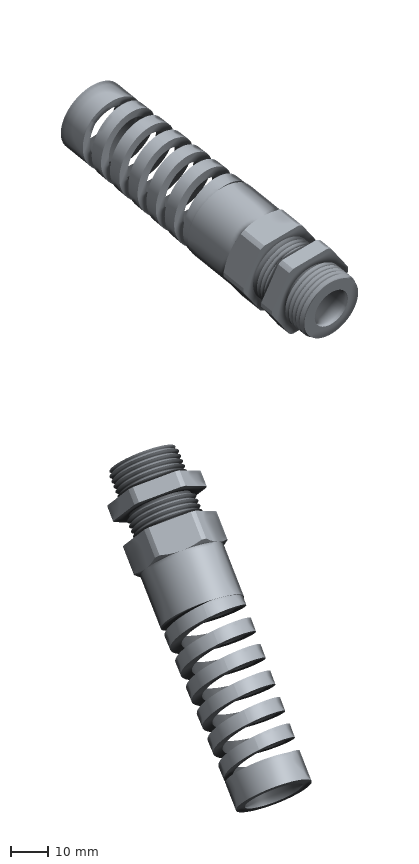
import cadquery as cq
import math

total_length = 98.8
collar_end = 8.1
barrel_start = 53.8
barrel_end = 69.2
hexagon_end = 78.3
flange_start = 85.6
flange_end = 90.1

collar_radius = 10.9
spring_end_radius = 11.8
spring_bore_radius = 8.3
cable_bore_radius = 5.8
across_flats = 23.9
across_corners = 26.8
barrel_radius = across_flats / 2
corner_radius = across_corners / 2
bevel_length = 0.9

first_coil_center = 12.9
last_coil_center = 51.5
coil_gaps = 5
coil_pitch = (last_coil_center - first_coil_center) / coil_gaps
coil_width = 4.0
ribbon_excess = 1.0

thread_root_radius = 8.9
thread_crest_radius = 10.0
thread_end_radius = 9.5
thread_pitch = 1.5
neck_rings = 4
neck_first_crest = 79.8
entry_rings = 5
entry_first_crest = 91.5


def revolve_about_x(points):
    """Solid of revolution from (X, radius) points."""
    return cq.Workplane("XZ").polyline(points).close().revolve(360, (0, 0, 0), (1, 0, 0))


def cylinder(start, end, radius):
    return revolve_about_x([(start, 0), (start, radius), (end, radius), (end, 0)])


def hexagon(start, end):
    """Hexagonal prism with flats facing +Z and -Z and corners rounded about the axis."""
    prism = (
        cq.Workplane("YZ")
        .workplane(offset=start)
        .polygon(6, across_flats / math.cos(math.radians(30)))
        .extrude(end - start)
    )
    return prism.intersect(cylinder(start, end, corner_radius))


def bevelled_hexagon():
    """Main hexagon, its corners bevelled where they meet the barrel."""
    envelope = revolve_about_x([
        (barrel_end, 0),
        (barrel_end, barrel_radius),
        (barrel_end + bevel_length, corner_radius),
        (hexagon_end, corner_radius),
        (hexagon_end, 0),
    ])
    return hexagon(barrel_end, hexagon_end).intersect(envelope)


def threaded_stub(start, start_radius, end, end_radius, first_crest, rings):
    """Cylinder with closely spaced V-shaped rings standing for the thread."""
    outline = [(start, 0), (start, start_radius)]
    for ring in range(rings):
        crest = first_crest + ring * thread_pitch
        outline.append((crest - thread_pitch / 2, thread_root_radius))
        outline.append((crest, thread_crest_radius))
    outline.append((crest + thread_pitch / 2, thread_root_radius))
    outline += [(end, end_radius), (end, 0)]
    return revolve_about_x(outline)


def ribbon_turn(center):
    """One right-handed turn of a square-edged ribbon, starting at +Z with its middle at X = center."""
    inner = spring_bore_radius - ribbon_excess
    outer = spring_end_radius + ribbon_excess
    path = cq.Wire.makeHelix(coil_pitch, coil_pitch, inner)
    turn = (
        cq.Workplane("XZ")
        .center((inner + outer) / 2, 0)
        .rect(outer - inner, coil_width)
        .sweep(cq.Workplane(path), isFrenet=True)
    )
    turn = turn.rotate((0, 0, 0), (0, 1, 0), 90)
    turn = turn.rotate((0, 0, 0), (1, 0, 0), 180)
    return turn.translate((center, 0, 0))


def add_spring(body):
    """Join the collar to the barrel by a helical coil, cut turn by turn from a tapered tube."""
    tube = revolve_about_x([
        (collar_end, spring_bore_radius),
        (collar_end, collar_radius),
        (barrel_start, spring_end_radius),
        (barrel_start, spring_bore_radius),
    ])
    for turn in range(-1, coil_gaps + 1):
        center = first_coil_center + turn * coil_pitch
        body = body.union(tube.intersect(ribbon_turn(center)))
    return body


collar = cylinder(0, collar_end, collar_radius).cut(cylinder(0, collar_end, spring_bore_radius))
barrel = cylinder(barrel_start, barrel_end, barrel_radius)
neck = threaded_stub(
    hexagon_end, thread_crest_radius, flange_start, thread_root_radius, neck_first_crest, neck_rings
)
flange = hexagon(flange_start, flange_end)
entry_thread = threaded_stub(
    flange_end, thread_root_radius, total_length, thread_end_radius, entry_first_crest, entry_rings
)

fitting = barrel.union(bevelled_hexagon()).union(neck).union(flange).union(entry_thread)
fitting = fitting.cut(cylinder(barrel_start, total_length, cable_bore_radius))
result = add_spring(collar).union(fitting).solids()